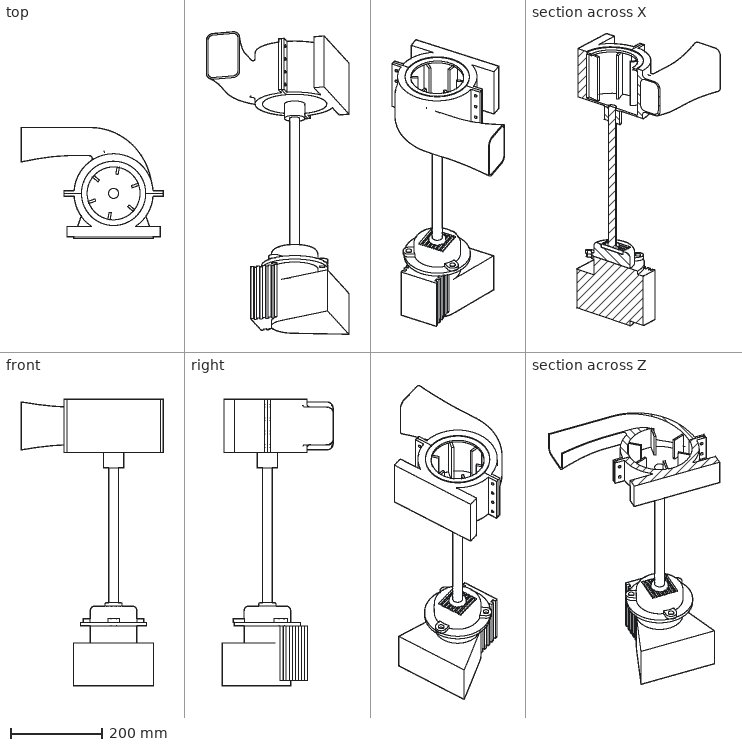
import cadquery as cq
import math


BODY_RADIUS = 51.3
FLANGE_RADIUS = 72.7
FLANGE_BOTTOM = 131.5
FLANGE_THICKNESS = 8.0
BOX_FRONT_Y = -99.18
BOX_HALF_WIDTH = 88.0
BOX_HEIGHT = 94.6
FIN_COUNT = 5
FIN_THICKNESS = 6.7
FIN_START_Y = 27.9
FIN_HALF_WIDTH = 43.5
FIN_BOTTOM = 11.5

CAP_HEIGHT = 35.5
CAP_FILLET = 10.0
LUG_COUNT = 3
LUG_RADIUS = 12.5
LUG_CENTRE_RADIUS = 62.5
LUG_THICKNESS = 8.0
LUG_HOLE_DIAMETER = 12.0
VENT_COUNT = 7
VENT_WIDTH = 6.0
VENT_RIB = 3.0
VENT_DEPTH = 8.0
COLLAR_RADIUS = 19.0
COLLAR_HEIGHT = 7.7
COLLAR_FILLET = 3.5

SHAFT_RADIUS = 11.0
COUPLING_RADIUS = 22.5
COUPLING_LENGTH = 33.0
DISC_THICKNESS = 5.0
RING_THICKNESS = 5.0
RING_INNER_RADIUS = 58.0
BLADE_COUNT = 6
BLADE_FIRST_ANGLE = 20.0
BLADE_THICKNESS = 5.0
BLADE_INNER_RADIUS = 42.5
IMPELLER_RECESS = 2.0

HOUSING_TOP = 628.74
HOUSING_HEIGHT = 117.5
HOUSING_RADIUS = 87.0
BORE_RADIUS = 70.5
SPLIT_FLANGE_HALF_WIDTH = 109.0
SPLIT_FLANGE_THICKNESS = 6.3
BOLT_COUNT = 4
BOLT_DIAMETER = 6.0
PLATE_HALF_WIDTH = 102.5
PLATE_BACK_Y = -72.5
PLATE_FRONT_Y = -95.5

DUCT_OUTER_Y = 144.6
DUCT_INNER_Y = 82.5
DUCT_HEIGHT = 83.2
DUCT_EDGE_RADIUS = 15.0
DUCT_WALL = 4.0
DUCT_ROOT_FILLET = 6.0
OUTER_BEND_START_X = -50.0
INNER_BEND_START_X = -30.0
INNER_BEND_REACH = 80.0
SWEEP_END_X = 85.5
FLARE_START_X = -100.0
MOUTH_X = -202.46
MOUTH_INNER_Y = 68.7
MOUTH_HEIGHT = 105.6
FLARE_STEPS = 4
FLARE_EXPONENT = 1.6

MATCH_TOLERANCE = 0.05

flange_top = FLANGE_BOTTOM + FLANGE_THICKNESS
cap_top = flange_top + CAP_HEIGHT
housing_bottom = HOUSING_TOP - HOUSING_HEIGHT
housing_middle = housing_bottom + HOUSING_HEIGHT / 2
disc_top = housing_bottom + DISC_THICKNESS
impeller_top = HOUSING_TOP - IMPELLER_RECESS


def cylinder(radius, bottom, top):
    return cq.Workplane("XY").workplane(offset=bottom).circle(radius).extrude(top - bottom)


def block(x_range, y_range, z_range):
    size = [high - low for low, high in (x_range, y_range, z_range)]
    corner = (x_range[0], y_range[0], z_range[0])
    return cq.Workplane("XY").box(*size, centered=False).translate(corner)


def lug_positions():
    """Lug centres, the first one on the -Y side."""
    angles = [math.radians(-90 + 360 / LUG_COUNT * i) for i in range(LUG_COUNT)]
    return [(LUG_CENTRE_RADIUS * math.cos(a), LUG_CENTRE_RADIUS * math.sin(a)) for a in angles]


def lug_holes(bottom, top):
    return (
        cq.Workplane("XY").workplane(offset=bottom)
        .pushPoints(lug_positions()).circle(LUG_HOLE_DIAMETER / 2).extrude(top - bottom)
    )


def tapered_box():
    """Box whose side walls run tangent into the round body."""
    corner_distance = math.hypot(BOX_HALF_WIDTH, BOX_FRONT_Y)
    corner_angle = math.atan2(BOX_FRONT_Y, BOX_HALF_WIDTH)
    tangent_angle = corner_angle + math.acos(BODY_RADIUS / corner_distance)
    tangent_x = BODY_RADIUS * math.cos(tangent_angle)
    tangent_y = BODY_RADIUS * math.sin(tangent_angle)
    outline = [
        (-BOX_HALF_WIDTH, BOX_FRONT_Y),
        (BOX_HALF_WIDTH, BOX_FRONT_Y),
        (tangent_x, tangent_y),
        (-tangent_x, tangent_y),
    ]
    return cq.Workplane("XY").polyline(outline).close().extrude(BOX_HEIGHT)


def cooling_fins():
    """Block behind the body with square grooves down both of its sides."""
    fin_pitch = 2 * FIN_THICKNESS
    end_y = FIN_START_Y + (2 * FIN_COUNT - 1) * FIN_THICKNESS
    levels = (FIN_BOTTOM, FLANGE_BOTTOM)
    core_half_width = FIN_HALF_WIDTH - FIN_THICKNESS
    fins = block((-core_half_width, core_half_width), (FIN_START_Y, end_y), levels)
    for i in range(FIN_COUNT):
        start_y = FIN_START_Y + i * fin_pitch
        fins = fins.union(
            block((-FIN_HALF_WIDTH, FIN_HALF_WIDTH), (start_y, start_y + FIN_THICKNESS), levels)
        )
    return fins


def make_drive_body():
    body = cylinder(BODY_RADIUS, 0, flange_top)
    body = body.union(tapered_box()).union(cooling_fins())
    body = body.union(cylinder(FLANGE_RADIUS, FLANGE_BOTTOM, flange_top))
    return body.cut(lug_holes(FLANGE_BOTTOM, flange_top))


def lugs():
    """Round-ended tabs reaching out from the cap along the flange."""
    tabs = cylinder(LUG_RADIUS, flange_top, flange_top + LUG_THICKNESS)
    tabs = tabs.translate((LUG_CENTRE_RADIUS, 0, 0)).union(
        block(
            (0, LUG_CENTRE_RADIUS),
            (-LUG_RADIUS, LUG_RADIUS),
            (flange_top, flange_top + LUG_THICKNESS),
        )
    )
    axis = ((0, 0, 0), (0, 0, 1))
    return [tabs.rotate(*axis, -90 + 360 / LUG_COUNT * i) for i in range(LUG_COUNT)]


def vent_slots():
    """Square field of parallel slots in the top of the cap."""
    pitch = VENT_WIDTH + VENT_RIB
    field_side = VENT_COUNT * pitch - VENT_RIB
    return (
        cq.Workplane("XY").workplane(offset=cap_top - VENT_DEPTH)
        .rarray(pitch, 1, VENT_COUNT, 1).rect(VENT_WIDTH, field_side).extrude(VENT_DEPTH)
    )


def make_cap():
    cap = cylinder(BODY_RADIUS, flange_top, cap_top).faces(">Z").edges().fillet(CAP_FILLET)
    for lug in lugs():
        cap = cap.union(lug)
    cap = cap.cut(lug_holes(flange_top, flange_top + LUG_THICKNESS))
    cap = cap.cut(vent_slots())
    collar = cylinder(COLLAR_RADIUS, cap_top, cap_top + COLLAR_HEIGHT)
    collar = collar.faces(">Z").edges().fillet(COLLAR_FILLET)
    shaft_hole = cylinder(SHAFT_RADIUS, cap_top, cap_top + COLLAR_HEIGHT)
    return cap.union(collar).cut(shaft_hole)


def make_shaft():
    return cylinder(SHAFT_RADIUS, cap_top, disc_top)


def make_coupling():
    bottom = housing_bottom - COUPLING_LENGTH
    sleeve = cylinder(COUPLING_RADIUS, bottom, housing_bottom)
    return sleeve.cut(cylinder(SHAFT_RADIUS, bottom, housing_bottom))


def make_impeller():
    """Bottom disc and top ring joined by radial blades."""
    disc = cylinder(BORE_RADIUS, housing_bottom, disc_top)
    disc = disc.cut(cylinder(SHAFT_RADIUS, housing_bottom, disc_top))
    ring_bottom = impeller_top - RING_THICKNESS
    ring = cylinder(BORE_RADIUS, ring_bottom, impeller_top)
    ring = ring.cut(cylinder(RING_INNER_RADIUS, ring_bottom, impeller_top))
    blade = block(
        (BLADE_INNER_RADIUS, BORE_RADIUS),
        (-BLADE_THICKNESS / 2, BLADE_THICKNESS / 2),
        (disc_top, ring_bottom),
    ).intersect(cylinder(BORE_RADIUS, disc_top, ring_bottom))
    impeller = disc
    for i in range(BLADE_COUNT):
        angle = BLADE_FIRST_ANGLE + 360 / BLADE_COUNT * i
        impeller = impeller.union(blade.rotate((0, 0, 0), (0, 0, 1), angle))
    return impeller.union(ring)


def split_flanges(y_range):
    """Bolted ears on both sides of one housing half."""
    ears = block(
        (-SPLIT_FLANGE_HALF_WIDTH, SPLIT_FLANGE_HALF_WIDTH), y_range, (housing_bottom, HOUSING_TOP)
    )
    bolt_x = (HOUSING_RADIUS + SPLIT_FLANGE_HALF_WIDTH) / 2
    holes = (
        cq.Workplane("XZ", origin=(0, 0, housing_middle))
        .rarray(2 * bolt_x, HOUSING_HEIGHT / BOLT_COUNT, 2, BOLT_COUNT)
        .circle(BOLT_DIAMETER / 2).extrude(SPLIT_FLANGE_THICKNESS, both=True)
    )
    return ears.cut(holes)


def half_drum(y_range):
    drum = cylinder(HOUSING_RADIUS, housing_bottom, HOUSING_TOP)
    side = block((-HOUSING_RADIUS, HOUSING_RADIUS), y_range, (housing_bottom, HOUSING_TOP))
    return drum.intersect(side)


def flare(inset):
    """Rounded rectangle that widens towards the mouth, shrunk all round by the inset."""
    sections = []
    for i in range(FLARE_STEPS + 1):
        along = i / FLARE_STEPS
        growth = along ** FLARE_EXPONENT
        x = FLARE_START_X + (MOUTH_X - FLARE_START_X) * along
        inner_y = DUCT_INNER_Y + (MOUTH_INNER_Y - DUCT_INNER_Y) * growth
        height = DUCT_HEIGHT + (MOUTH_HEIGHT - DUCT_HEIGHT) * growth
        sections.append(
            cq.Sketch()
            .rect(DUCT_OUTER_Y - inner_y - 2 * inset, height - 2 * inset)
            .vertices().fillet(DUCT_EDGE_RADIUS - inset)
            .moved(
                cq.Location(
                    cq.Plane((x, (DUCT_OUTER_Y + inner_y) / 2, housing_middle), (0, 1, 0), (1, 0, 0))
                )
            )
        )
    return cq.Workplane("XY").placeSketch(*sections).loft()


def bend(inset, end_x):
    """Sharp-edged straight run and sweep into the drum; end_x is where the sweep meets Y = 0."""
    inner_y = DUCT_INNER_Y + inset
    outer_y = DUCT_OUTER_Y - inset
    height = DUCT_HEIGHT - 2 * inset
    inner_end_x = INNER_BEND_START_X + INNER_BEND_REACH - inset
    return (
        cq.Workplane("XY", origin=(0, 0, housing_middle - height / 2))
        .moveTo(FLARE_START_X, inner_y)
        .lineTo(INNER_BEND_START_X, inner_y)
        .ellipseArc(inner_end_x - INNER_BEND_START_X, inner_y, 0, 90, sense=-1)
        .lineTo(end_x, 0)
        .ellipseArc(end_x - OUTER_BEND_START_X, outer_y, 0, 90)
        .lineTo(FLARE_START_X, outer_y)
        .close().extrude(height)
    )


def is_on_drum(edge):
    points = [edge.positionAt(t) for t in (0, 0.5, 1)]
    return all(abs(math.hypot(p.x, p.y) - HOUSING_RADIUS) < MATCH_TOLERANCE for p in points)


def round_long_edges(solid, height, radius):
    """Round the edges that run along the duct at its top and bottom."""
    long_edges = [
        edge for edge in solid.edges().vals()
        if abs(abs(edge.Center().z - housing_middle) - height / 2) < MATCH_TOLERANCE
        and edge.Center().x > FLARE_START_X
        and edge.Center().y > 0
        and not is_on_drum(edge)
    ]
    return solid.newObject(long_edges).fillet(radius)


def fillet_duct_root(solid):
    """Blend the duct into the drum along the whole line where they meet."""
    root_edges = [
        edge for edge in solid.edges().vals()
        if is_on_drum(edge)
        and edge.Center().y > MATCH_TOLERANCE
        and housing_bottom + MATCH_TOLERANCE < edge.Center().z < HOUSING_TOP - MATCH_TOLERANCE
    ]
    return solid.newObject(root_edges).fillet(DUCT_ROOT_FILLET)


def bore():
    return cylinder(BORE_RADIUS, housing_bottom, HOUSING_TOP)


def duct_passage():
    inner_height = DUCT_HEIGHT - 2 * DUCT_WALL
    passage = round_long_edges(
        bend(DUCT_WALL, BORE_RADIUS), inner_height, DUCT_EDGE_RADIUS - DUCT_WALL
    )
    return passage.union(flare(DUCT_WALL))


def make_outlet_housing():
    """Half on the +Y side: drum, split flanges and the hollow outlet duct."""
    half = half_drum((0, HOUSING_RADIUS)).union(bend(0, SWEEP_END_X))
    half = round_long_edges(half, DUCT_HEIGHT, DUCT_EDGE_RADIUS)
    half = fillet_duct_root(half)
    half = half.union(flare(0)).union(split_flanges((0, SPLIT_FLANGE_THICKNESS)))
    return half.cut(duct_passage()).cut(bore())


def make_base_housing():
    """Half on the -Y side: drum, split flanges and the mounting plate."""
    half = half_drum((-HOUSING_RADIUS, 0)).union(split_flanges((-SPLIT_FLANGE_THICKNESS, 0)))
    half = half.union(
        block(
            (-PLATE_HALF_WIDTH, PLATE_HALF_WIDTH),
            (PLATE_FRONT_Y, PLATE_BACK_Y),
            (housing_bottom, HOUSING_TOP),
        )
    )
    return half.cut(bore())


drive_body = make_drive_body()
cap = make_cap()
shaft = make_shaft()
coupling = make_coupling()
impeller = make_impeller()
outlet_housing = make_outlet_housing()
base_housing = make_base_housing()

result = cq.Compound.makeCompound([
    drive_body.val(),
    cap.val(),
    shaft.val(),
    coupling.val(),
    impeller.val(),
    outlet_housing.val(),
    base_housing.val(),
])